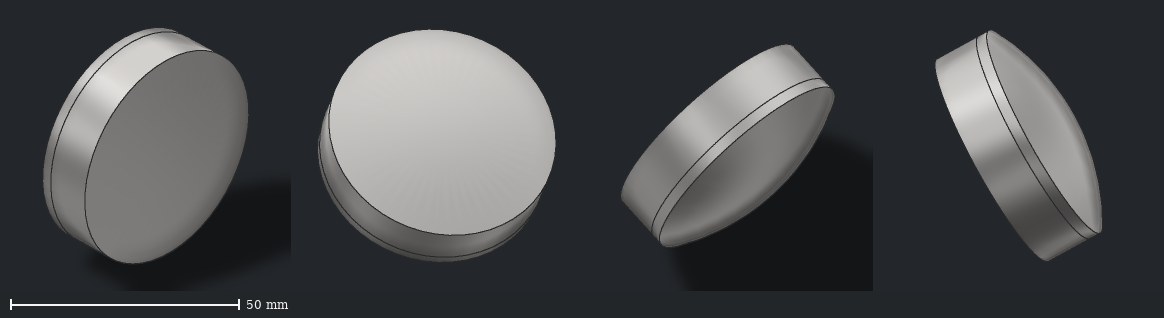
import cadquery as cq

lens_diameter = 50.8
total_thickness = 21.5
front_sag = 6.95
front_edge_width = 2.6
rear_sag = 1.35

lens_radius = lens_diameter / 2
rear_edge_width = total_thickness - front_sag - front_edge_width - rear_sag


def make_element(edge_width, sag, direction):
    """Plano-convex lens, flat at X = 0, with its dome facing along direction (+1 or -1) on X."""
    rim_x = direction * edge_width
    apex_x = direction * (edge_width + sag)
    sphere_radius = (lens_radius**2 + sag**2) / (2 * sag)
    center_x = apex_x - direction * sphere_radius
    mid_height = lens_radius / 2
    mid_x = center_x + direction * (sphere_radius**2 - mid_height**2) ** 0.5
    return (
        cq.Workplane("XZ")
        .lineTo(0, lens_radius)
        .lineTo(rim_x, lens_radius)
        .threePointArc((mid_x, mid_height), (apex_x, 0))
        .close()
        .revolve(360, (0, 0, 0), (1, 0, 0))
    )


front_element = make_element(front_edge_width, front_sag, -1)
rear_element = make_element(rear_edge_width, rear_sag, 1)

result = cq.Compound.makeCompound([front_element.val(), rear_element.val()])